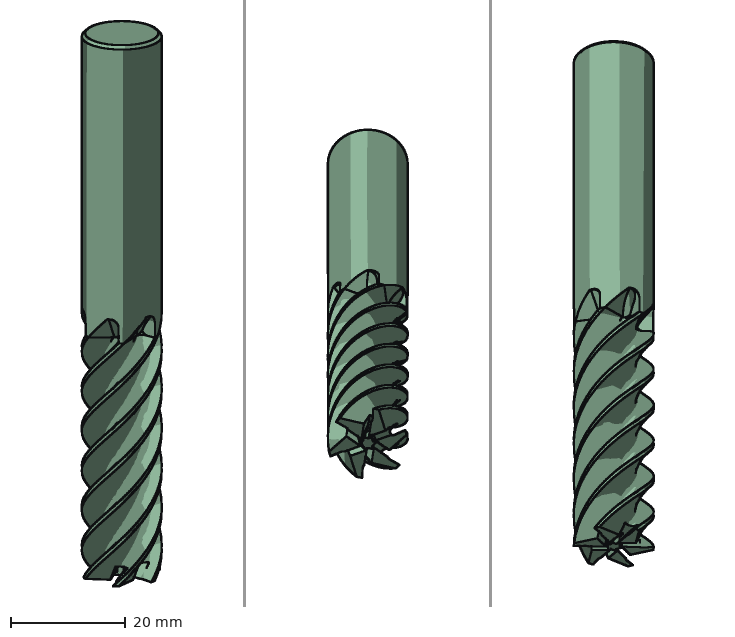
import cadquery as cq
import math

diameter = 14.0
overall_length = 100.0
cut_length = 45.0
shank_chamfer = 0.6

flute_count = 6
helix_angle = 45.0
land_angle = 8.0
core_radius = 3.9
root_fillet = 1.2
rake_angle = 5.0
runout_length = 4.3
runout_fillet = 1.5
flare_height = 5.2
flare_middle_radius = 5.2
flare_radius = 8.0
flute_overshoot = 0.4

gash_height = 2.6
gash_wall_slant = 2.0
gash_floor_width = 1.2
gash_ceiling_width = 2.2
gash_start_radius = 1.0

radius = diameter / 2
pitch_angle = 360.0 / flute_count
lead = math.pi * diameter / math.tan(math.radians(helix_angle))
twist_per_length = 360.0 / lead


def polar(distance, angle):
    turn = math.radians(angle)
    return (distance * math.cos(turn), distance * math.sin(turn))


def root_arc():
    """Start, middle and end of the root arc ahead of the cutting edge at angle 0, as (distance, angle).

    The arc touches the core circle, the rake face and the straight back of the tooth before.
    """
    center_distance = core_radius + root_fillet
    ahead_of_axis = root_fillet - radius * math.sin(math.radians(rake_angle))
    center_angle = -rake_angle - math.degrees(math.asin(ahead_of_axis / center_distance))
    center_x, center_y = polar(center_distance, center_angle)

    rake_direction = 90 - rake_angle
    heel_x, heel_y = polar(radius, land_angle - pitch_angle)
    heel_distance = math.hypot(heel_x - center_x, heel_y - center_y)
    heel_direction = math.degrees(math.atan2(heel_y - center_y, heel_x - center_x))
    back_direction = heel_direction - math.degrees(math.acos(root_fillet / heel_distance)) + 360

    arc_points = []
    for direction in (back_direction, (back_direction + rake_direction) / 2, rake_direction):
        step_x, step_y = polar(root_fillet, direction)
        x, y = center_x + step_x, center_y + step_y
        arc_points.append((math.hypot(x, y), math.degrees(math.atan2(y, x))))
    return arc_points


def flute_root(edge_angle):
    """Points of the root arc ahead of the cutting edge at the given angle."""
    return [polar(distance, edge_angle + angle) for distance, angle in root_arc()]


def teeth_outline():
    """Cross-section of all the teeth, with the first cutting edge on the X axis."""
    outline = cq.Workplane("XY").moveTo(radius, 0)
    for tooth in range(flute_count):
        edge = tooth * pitch_angle
        next_edge = edge + pitch_angle
        root_start, root_middle, root_end = flute_root(next_edge)
        outline = (
            outline.threePointArc(polar(radius, edge + land_angle / 2), polar(radius, edge + land_angle))
            .lineTo(*root_start)
            .threePointArc(root_middle, root_end)
            .lineTo(*polar(radius, next_edge))
        )
    return outline.close()


def stretched(start, end):
    """Point beyond the end of a line, to carry a flute side clear of the shank surface."""
    return (
        end[0] + flute_overshoot * (end[0] - start[0]),
        end[1] + flute_overshoot * (end[1] - start[1]),
    )


def flute_outline():
    """Cross-section of the gap ahead of a cutting edge on the X axis, at the top of the cutting part."""
    root_start, root_middle, root_end = flute_root(0)
    heel = polar(radius, land_angle - pitch_angle)
    return (
        cq.Workplane("XY", origin=(0, 0, cut_length))
        .moveTo(*stretched(root_start, heel))
        .lineTo(*root_start)
        .threePointArc(root_middle, root_end)
        .lineTo(*stretched(root_end, (radius, 0)))
        .threePointArc(polar(flare_radius, (land_angle - pitch_angle) / 2), stretched(root_start, heel))
        .close()
    )


def end_gash(angle):
    """Slanted wedge along one cutting edge, from near the axis out past the lands."""
    wedge = (
        cq.Workplane("YZ", origin=(gash_start_radius, 0, 0))
        .polyline([
            (-gash_floor_width, 0),
            (0, 0),
            (gash_wall_slant, gash_height),
            (gash_wall_slant - gash_ceiling_width, gash_height),
        ])
        .close()
        .extrude(radius)
    )
    return wedge.rotate((0, 0, 0), (0, 0, 1), angle)


def make_cutting_part():
    cutting_part = teeth_outline().twistExtrude(cut_length, cut_length * twist_per_length)
    for tooth in range(flute_count):
        cutting_part = cutting_part.cut(end_gash(tooth * pitch_angle))
    return cutting_part


def make_runout_floor():
    """Core that flares along an arc from the flute root to beyond the shank surface."""
    flare_top = cut_length + flare_height
    return (
        cq.Workplane("XZ")
        .moveTo(0, cut_length)
        .lineTo(core_radius, cut_length)
        .threePointArc(
            (flare_middle_radius, cut_length + flare_height / 2),
            (flare_radius, flare_top),
        )
        .lineTo(0, flare_top)
        .close()
        .revolve(360, (0, 0, 0), (0, 1, 0))
    )


def make_runout():
    """End of one flute: its heel side keeps to the helix while its rake side runs straight up."""
    twisted_flute = flute_outline().twistExtrude(runout_length, runout_length * twist_per_length)
    rake_block = (
        cq.Workplane("XY", origin=(radius, 0, cut_length))
        .rect(diameter, 2 * diameter)
        .extrude(runout_length)
        .translate((0, -diameter, 0))
        .edges("|X and >Y and >Z")
        .fillet(runout_fillet)
        .rotate((radius, 0, 0), (radius, 0, 1), -rake_angle)
    )
    return twisted_flute.intersect(rake_block).cut(make_runout_floor())


def make_shank():
    shank = (
        cq.Workplane("XY", origin=(0, 0, cut_length))
        .circle(radius)
        .extrude(overall_length - cut_length)
        .faces(">Z")
        .chamfer(shank_chamfer)
    )
    runout = make_runout()
    for tooth in range(flute_count):
        edge_angle = cut_length * twist_per_length + tooth * pitch_angle
        shank = shank.cut(runout.rotate((0, 0, 0), (0, 0, 1), edge_angle))
    return shank


cutting_part = make_cutting_part()
shank = make_shank()
result = cq.Compound.makeCompound([cutting_part.val(), shank.val()])